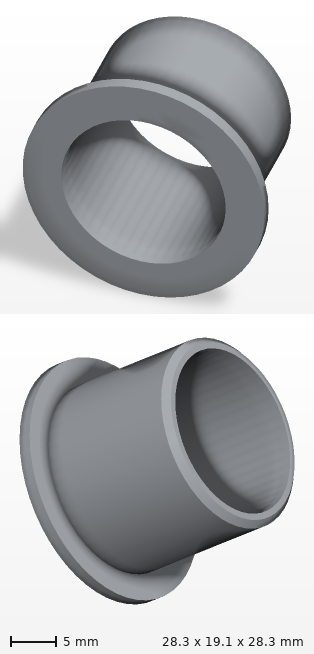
import cadquery as cq

flange_diameter = 28.27
flange_thickness = 1.5
sleeve_diameter = 22.22
bore_diameter = 19.22
total_length = 19.05
lead_in_chamfer = 0.75


def cylinder_along_y(diameter, length):
    """Cylinder on the Y axis, running from y = 0 to y = length."""
    return cq.Workplane("XZ").circle(diameter / 2).extrude(-length)


sleeve = cylinder_along_y(sleeve_diameter, total_length).faces(">Y").edges().chamfer(lead_in_chamfer)

flange = cylinder_along_y(flange_diameter, flange_thickness)

bore = cylinder_along_y(bore_diameter, total_length)

result = sleeve.union(flange).cut(bore)